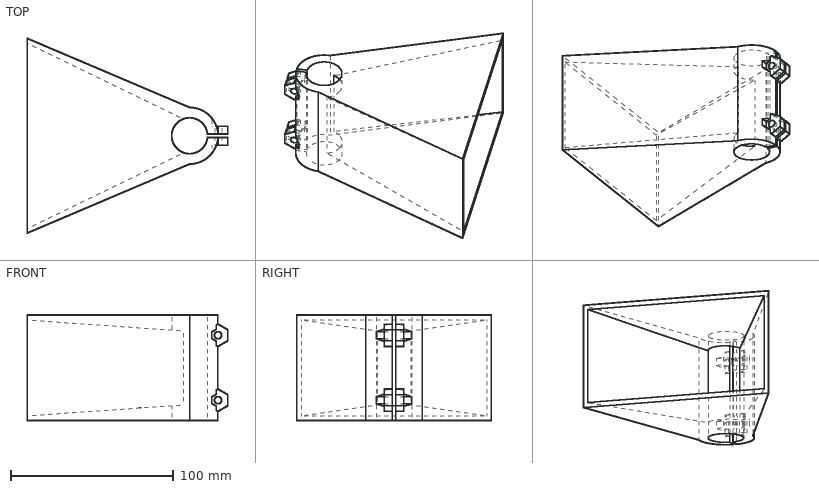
import cadquery as cq
import math

mouth_width = 120.0
body_height = 65.0
body_length = 100.0
collar_diameter = 35.0
bore_diameter = 22.0

mouth_wall = 3.0
throat_width = 17.0
throat_height = 45.0

slit_width = 2.0
ear_thickness = 5.0
ear_across_flats = 12.0
ear_spacing = 40.0
screw_diameter = 4.3
nut_corner_diameter = 8.6

collar_radius = collar_diameter / 2
ear_corner_diameter = ear_across_flats / math.cos(math.radians(30))
ear_x = body_length + collar_radius
ear_outer_y = slit_width / 2 + ear_thickness
ear_heights = (-ear_spacing / 2, ear_spacing / 2)


def hexagon_bar(corner_diameter, z, half_length):
    """Hexagonal bar along Y, centred on Y = 0, with corners pointing up and down."""
    return (
        cq.Workplane("XZ", origin=(ear_x, 0, z))
        .transformed(rotate=(0, 0, 90))
        .polygon(6, corner_diameter)
        .extrude(half_length, both=True)
    )


def funnel_body():
    """Solid wedge whose narrow end is rounded off by the collar."""
    return (
        cq.Workplane("XY")
        .moveTo(0, -mouth_width / 2)
        .lineTo(body_length, -collar_radius)
        .threePointArc((body_length + collar_radius, 0), (body_length, collar_radius))
        .lineTo(0, mouth_width / 2)
        .close()
        .extrude(body_height / 2, both=True)
    )


def cavity():
    """Rectangular taper from the mouth to the collar axis."""
    return (
        cq.Workplane("YZ")
        .rect(mouth_width - 2 * mouth_wall, body_height - 2 * mouth_wall)
        .workplane(offset=body_length)
        .rect(throat_width, throat_height)
        .loft(ruled=True)
    )


def bore():
    """Round hole through the full height of the collar."""
    return (
        cq.Workplane("XY")
        .center(body_length, 0)
        .circle(bore_diameter / 2)
        .extrude(body_height / 2, both=True)
    )


def slit():
    """Slot from the bore axis out past the ears."""
    slit_length = collar_radius + ear_across_flats
    return (
        cq.Workplane("XY")
        .box(slit_length, slit_width, body_height, centered=(False, True, True))
        .translate((body_length, 0, 0))
    )


def nut_clearance(z):
    """Hexagonal recesses in the collar, outward from both outer ear faces."""
    full_bar = hexagon_bar(nut_corner_diameter, z, collar_radius)
    between_ear_faces = hexagon_bar(nut_corner_diameter, z, ear_outer_y)
    return full_bar.cut(between_ear_faces)


def screw_hole(z):
    """Round hole along Y through both ears of a pair."""
    return (
        cq.Workplane("XZ", origin=(ear_x, 0, z))
        .circle(screw_diameter / 2)
        .extrude(collar_radius, both=True)
    )


result = funnel_body()
for ear_z in ear_heights:
    result = result.union(hexagon_bar(ear_corner_diameter, ear_z, ear_outer_y))
for ear_z in ear_heights:
    result = result.cut(nut_clearance(ear_z)).cut(screw_hole(ear_z))
result = result.cut(cavity()).cut(bore()).cut(slit())